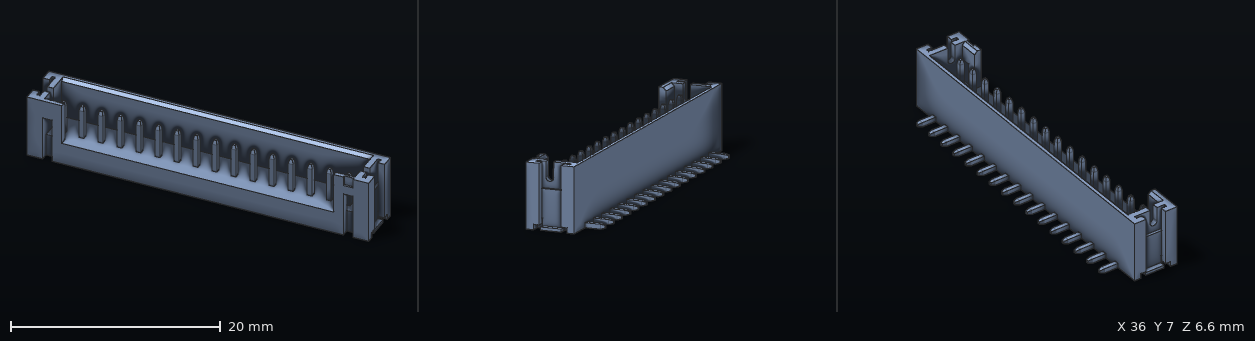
import cadquery as cq


LENGTH = 35.95
DEPTH = 5.0
HEIGHT = 6.6
HALF_LENGTH = LENGTH / 2

FLOOR_Z = 2.35
FRONT_WALL = 0.8
BACK_WALL = 0.7
END_WALL = 1.65
LEAD_IN = 0.32

WINDOW_INSET = 3.65

KEYWAY_WIDTH = 1.0
KEYWAY_HEIGHT = 4.67

MARK_HEIGHT = 0.97
MARK_DEPTH = 0.2

TAB_CENTER_Y = 2.5
TAB_SLOT_INSET = 0.7
TAB_THICKNESS = 0.32
TAB_SLOT_LENGTH = 3.5
END_RECESS_LENGTH = 2.25
TAB_RELIEF_HEIGHT = 0.55

NOTCH_WIDTH = 0.8
NOTCH_CENTER_Y = 2.05
NOTCH_DEPTH = 1.95

TAB_HEIGHT = 4.0
TAB_SHOULDER_Z = 1.08
TAB_FOOT_LENGTH = 2.15
TAB_FOOT_INSET = 0.15

PIN_COUNT = 16
ROW_LENGTH = 30.02
PIN_PITCH = ROW_LENGTH / (PIN_COUNT - 1)
PIN_SIZE = 0.5
PIN_CENTER_Y = 1.9
PIN_TOP_Z = 5.82
LEAD_END_Y = 7.0
TIP_LENGTH = 0.43
TIP_SIZE = 0.3


def block(x_range, y_range, z_range):
    """Axis-aligned box between the given limits."""
    lows, highs = zip(x_range, y_range, z_range)
    sizes = [high - low for low, high in zip(lows, highs)]
    return cq.Workplane("XY").box(*sizes, centered=False).translate(lows)


def centered_range(center, length):
    return (center - length / 2, center + length / 2)


def mirrored_in_x(shape):
    return shape.mirror("YZ")


def make_cavity():
    """Open-topped cavity, flaring outward along the top of both long walls."""
    front = FRONT_WALL
    back = DEPTH - BACK_WALL
    profile = [
        (front, FLOOR_Z),
        (back, FLOOR_Z),
        (back, HEIGHT - LEAD_IN),
        (back + LEAD_IN, HEIGHT),
        (front - LEAD_IN, HEIGHT),
        (front, HEIGHT - LEAD_IN),
    ]
    half_width = HALF_LENGTH - END_WALL
    return cq.Workplane("YZ").polyline(profile).close().extrude(half_width, both=True)


def make_front_window():
    half_width = HALF_LENGTH - WINDOW_INSET
    return block((-half_width, half_width), (0, FRONT_WALL), (FLOOR_Z, HEIGHT))


def keyway_x_range():
    """Limits of the right-hand keyway along X."""
    outer = HALF_LENGTH - END_WALL
    return (outer - KEYWAY_WIDTH, outer)


def make_mark_pocket():
    return block(keyway_x_range(), (0, MARK_DEPTH), (HEIGHT - MARK_HEIGHT, HEIGHT))


def make_end_notch():
    """Cutter for the round-bottomed notch through the inner layer of the right end wall."""
    radius = NOTCH_WIDTH / 2
    arc_z = HEIGHT - NOTCH_DEPTH + radius
    left, right = centered_range(NOTCH_CENTER_Y, NOTCH_WIDTH)
    return (
        cq.Workplane("YZ", origin=(HALF_LENGTH - END_WALL, 0, 0))
        .moveTo(left, HEIGHT)
        .lineTo(left, arc_z)
        .threePointArc((NOTCH_CENTER_Y, HEIGHT - NOTCH_DEPTH), (right, arc_z))
        .lineTo(right, HEIGHT)
        .close()
        .extrude(END_WALL)
    )


def make_right_end_cuts():
    """Everything removed at the right end that is repeated, mirrored, at the left end."""
    slot_outer = HALF_LENGTH - TAB_SLOT_INSET
    slot_inner = slot_outer - TAB_THICKNESS
    slot_y = centered_range(TAB_CENTER_Y, TAB_SLOT_LENGTH)
    recess_y = centered_range(TAB_CENTER_Y, END_RECESS_LENGTH)
    tab_slot = block((slot_inner, slot_outer), slot_y, (0, HEIGHT))
    end_recess = block((slot_outer, HALF_LENGTH), recess_y, (0, HEIGHT))
    tab_relief = block((slot_outer, HALF_LENGTH), slot_y, (0, TAB_RELIEF_HEIGHT))
    keyway = block(keyway_x_range(), (0, FRONT_WALL), (0, KEYWAY_HEIGHT))
    return [tab_slot, end_recess, tab_relief, keyway, make_end_notch()]


def make_tapered_tip(plane):
    """Four-sided taper growing from a plane centred on the end of a contact."""
    return (
        cq.Workplane(plane)
        .rect(PIN_SIZE, PIN_SIZE)
        .workplane(offset=TIP_LENGTH)
        .rect(TIP_SIZE, TIP_SIZE)
        .loft(ruled=True)
    )


def make_contact(x):
    """L-shaped contact: an upright pin in the cavity and a lead out of the back, both tapered."""
    x_range = centered_range(x, PIN_SIZE)
    pin_y = centered_range(PIN_CENTER_Y, PIN_SIZE)
    pin_shoulder = PIN_TOP_Z - TIP_LENGTH
    lead_shoulder = LEAD_END_Y - TIP_LENGTH
    pin_tip_plane = cq.Plane(origin=(x, PIN_CENTER_Y, pin_shoulder), normal=(0, 0, 1))
    lead_tip_plane = cq.Plane(
        origin=(x, lead_shoulder, PIN_SIZE / 2), xDir=(1, 0, 0), normal=(0, 1, 0)
    )
    return (
        block(x_range, pin_y, (0, pin_shoulder))
        .union(block(x_range, (pin_y[0], lead_shoulder), (0, PIN_SIZE)))
        .union(make_tapered_tip(pin_tip_plane))
        .union(make_tapered_tip(lead_tip_plane))
    )


def make_housing():
    """Housing and its contacts, moulded together as one body."""
    body = block((-HALF_LENGTH, HALF_LENGTH), (0, DEPTH), (0, HEIGHT))
    body = body.cut(make_cavity()).cut(make_front_window()).cut(make_mark_pocket())
    for cutter in make_right_end_cuts():
        body = body.cut(cutter).cut(mirrored_in_x(cutter))
    for index in range(PIN_COUNT):
        x = index * PIN_PITCH - ROW_LENGTH / 2
        body = body.union(make_contact(x))
    return body


def make_right_solder_tab():
    """Upright plate in the tab slot, narrowing to a foot that turns outward at the underside."""
    outer = HALF_LENGTH - TAB_SLOT_INSET
    inner = outer - TAB_THICKNESS
    wide_y = centered_range(TAB_CENTER_Y, TAB_SLOT_LENGTH)
    foot_y = centered_range(TAB_CENTER_Y, TAB_FOOT_LENGTH)
    plate = block((inner, outer), wide_y, (TAB_SHOULDER_Z, TAB_HEIGHT))
    neck = block((inner, outer), foot_y, (0, TAB_SHOULDER_Z))
    foot = block((inner, HALF_LENGTH - TAB_FOOT_INSET), foot_y, (0, TAB_THICKNESS))
    return plate.union(neck).union(foot)


housing = make_housing()
right_tab = make_right_solder_tab()
solder_tabs = [right_tab, mirrored_in_x(right_tab)]

result = cq.Compound.makeCompound([housing.val(), *[tab.val() for tab in solder_tabs]])